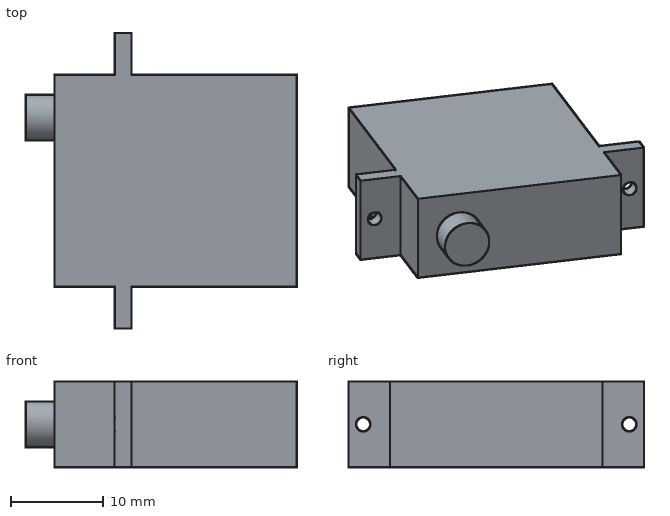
import cadquery as cq

height = 9.3
body_length = 26.25
body_width = 22.98

ear_span = 32.0
ear_thickness = 1.82
ear_setback = 6.53
hole_diameter = 1.5
hole_spacing = 28.8

shaft_diameter = 5.0
shaft_length = 3.1
shaft_y = body_width / 2 - height / 2


def make_body():
    """Case with its shaft face on X = 0, centred on Y and Z."""
    return cq.Workplane("XY").box(body_length, body_width, height, centered=(False, True, True))


def make_ears():
    """Plate across the case, drilled along X near both ends."""
    plate = cq.Workplane("XY").box(ear_thickness, ear_span, height, centered=(False, True, True))
    holes = (
        cq.Workplane("YZ")
        .pushPoints([(-hole_spacing / 2, 0), (hole_spacing / 2, 0)])
        .circle(hole_diameter / 2)
        .extrude(ear_thickness)
    )
    return plate.cut(holes).translate((ear_setback, 0, 0))


def make_shaft():
    """Round shaft standing out of the case toward -X."""
    return (
        cq.Workplane("YZ")
        .center(shaft_y, 0)
        .circle(shaft_diameter / 2)
        .extrude(-shaft_length)
    )


result = make_body().union(make_ears()).union(make_shaft())